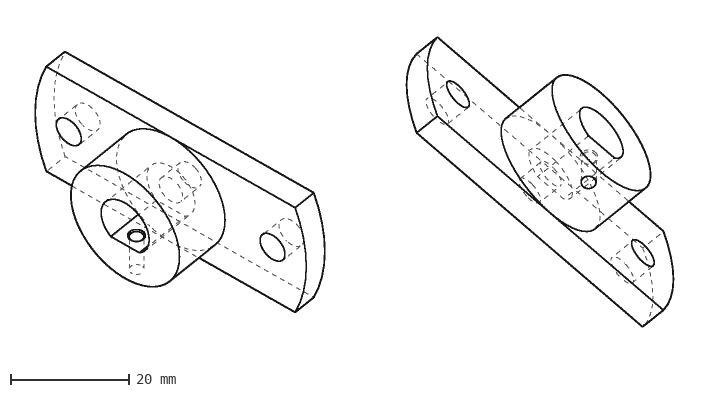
import cadquery as cq

PLATE_LENGTH = 59.9
PLATE_HEIGHT = 24.0
PLATE_THICKNESS = 4.9
PLATE_STRAIGHT_LENGTH = 55.0
TOTAL_DEPTH = 16.9

BOSS_DIAMETER = PLATE_HEIGHT
BOSS_LENGTH = TOTAL_DEPTH - PLATE_THICKNESS

CENTRE_HOLE_DIAMETER = 5.2
MOUNTING_HOLE_DIAMETER = 5.5
MOUNTING_HOLE_SPACING = 45.0

BORE_DIAMETER = 10.6
FLAT_DISTANCE = 4.25
SCREW_HOLE_DIAMETER = 2.5
SCREW_HOLE_CHAMFER = 0.25
SCREW_HOLE_SETBACK = 3.0

JOINT_PLANE = cq.Plane(origin=(0, 0, 0), xDir=(1, 0, 0), normal=(0, -1, 0))


def make_plate():
    """Flange plate with bowed ends, filling Y from 0 to its thickness."""
    half_straight = PLATE_STRAIGHT_LENGTH / 2
    half_length = PLATE_LENGTH / 2
    half_height = PLATE_HEIGHT / 2
    plate = (
        cq.Workplane(JOINT_PLANE)
        .moveTo(-half_straight, -half_height)
        .lineTo(half_straight, -half_height)
        .threePointArc((half_length, 0), (half_straight, half_height))
        .lineTo(-half_straight, half_height)
        .threePointArc((-half_length, 0), (-half_straight, -half_height))
        .close()
        .extrude(-PLATE_THICKNESS)
    )
    centre_hole = cq.Workplane(JOINT_PLANE).circle(CENTRE_HOLE_DIAMETER / 2).extrude(-PLATE_THICKNESS)
    mounting_holes = (
        cq.Workplane(JOINT_PLANE)
        .pushPoints([(side * MOUNTING_HOLE_SPACING / 2, 0) for side in (-1, 1)])
        .circle(MOUNTING_HOLE_DIAMETER / 2)
        .extrude(-PLATE_THICKNESS)
    )
    return plate.cut(centre_hole).cut(mounting_holes)


def make_d_bore():
    """Round bore through the boss, cut off by a flat on its lower side."""
    bore_radius = BORE_DIAMETER / 2
    bore = cq.Workplane(JOINT_PLANE).circle(bore_radius).extrude(BOSS_LENGTH)
    above_flat = (
        cq.Workplane(JOINT_PLANE)
        .moveTo(0, -FLAT_DISTANCE)
        .rect(BORE_DIAMETER, FLAT_DISTANCE + bore_radius, centered=(True, False))
        .extrude(BOSS_LENGTH)
    )
    return bore.intersect(above_flat)


def make_screw_hole():
    """Radial hole from the flat down through the wall, chamfered at the flat."""
    hole_radius = SCREW_HOLE_DIAMETER / 2
    hole_start = cq.Vector(0, SCREW_HOLE_SETBACK - BOSS_LENGTH, -FLAT_DISTANCE)
    downward = cq.Vector(0, 0, -1)
    drill = cq.Solid.makeCylinder(hole_radius, BOSS_DIAMETER / 2, hole_start, downward)
    chamfer = cq.Solid.makeCone(
        hole_radius + SCREW_HOLE_CHAMFER, hole_radius, SCREW_HOLE_CHAMFER, hole_start, downward
    )
    return drill.fuse(chamfer)


def make_boss():
    """Cylindrical hub seated on the front face of the plate."""
    boss = cq.Workplane(JOINT_PLANE).circle(BOSS_DIAMETER / 2).extrude(BOSS_LENGTH)
    return boss.cut(make_d_bore()).cut(make_screw_hole())


plate = make_plate()
boss = make_boss()

result = cq.Compound.makeCompound([plate.val(), boss.val()])